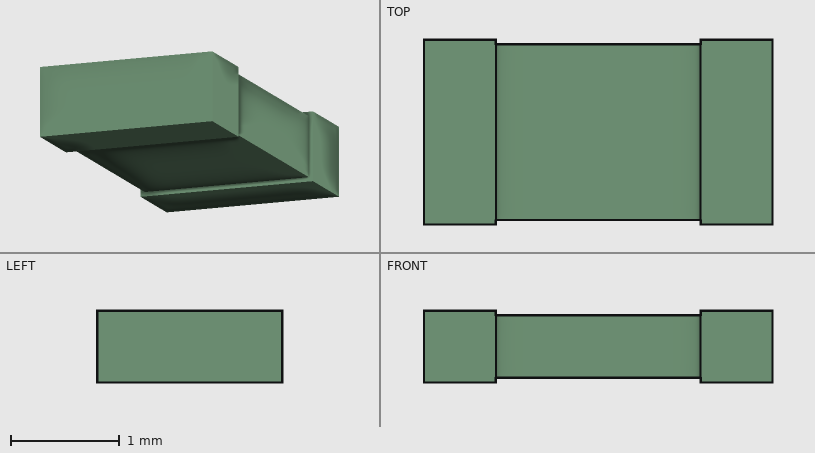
import cadquery as cq

total_length = 3.2
terminal_width = 1.7
terminal_height = 0.66
terminal_length = 0.66
step = 0.04

body_length = total_length - 2 * terminal_length
body_width = terminal_width - 2 * step
body_height = terminal_height - 2 * step
terminal_offset = (total_length - terminal_length) / 2


def make_body():
    """Plain block that fills the gap between the terminals."""
    return cq.Workplane("XY").box(body_length, body_width, body_height)


def make_terminal(side):
    """End block; side is -1 for the -X end and +1 for the +X end."""
    block = cq.Workplane("XY").box(terminal_length, terminal_width, terminal_height)
    return block.translate((side * terminal_offset, 0, 0))


body = make_body()
terminals = [make_terminal(side).val() for side in (-1, 1)]

result = cq.Compound.makeCompound([body.val(), *terminals])